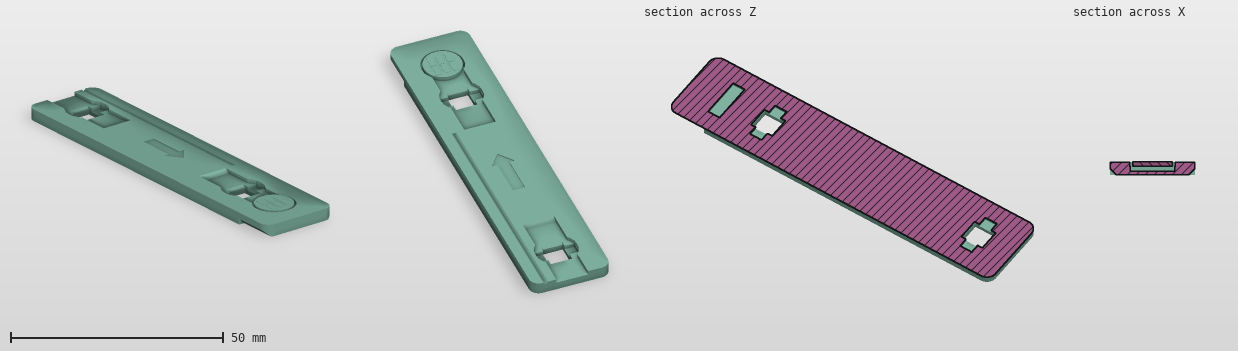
import cadquery as cq
import math

plate_length = 92.0
plate_width = 20.0
plate_thickness = 3.0
corner_radius = 2.5

pocket_width = 8.0
pocket_depth = 1.0
pocket_floor_z = plate_thickness - pocket_depth
end_pocket_length = 21.7
end_pocket_station_x = 10.0
long_pocket_start_x = 58.2
long_pocket_station_x = 70.0
button_station_x = 82.0

station_diameter = 10.5
channel_length = 10.3
channel_width = 3.2
channel_depth = 1.0

window_length = 5.5
window_width = 5.4
window_chamfer = 0.55

groove_length = 58.0
groove_y = 6.7
groove_width = 1.2

arrow_tail_x = 33.7
arrow_neck_x = 43.5
arrow_tip_x = 47.3
arrow_shaft_width = 3.0
arrow_head_width = 5.8
arrow_depth = 0.3

grip_start_x = 81.5
grip_chamfer = 1.5

button_diameter = 9.5
overall_height = 3.3
pad_rows = 3
pad_columns = 2
pad_length = 3.1
pad_width = 1.4
pad_row_pitch = 2.2
pad_gap = 0.3
pad_height = 0.1
button_face_z = overall_height - pad_height


def box_between(x_start, x_end, width, z_bottom, z_top):
    """Box centred on Y = 0."""
    return (
        cq.Workplane("XY", origin=((x_start + x_end) / 2, 0, z_bottom))
        .box(x_end - x_start, width, z_top - z_bottom, centered=(True, True, False))
    )


def sloped_pocket(plain_x, slope_x):
    """Pocket with an upright end at plain_x and a 45 degree slope that reaches the top face at slope_x."""
    slope_run = math.copysign(pocket_depth, plain_x - slope_x)
    return (
        cq.Workplane("XZ", origin=(0, pocket_width / 2, 0))
        .moveTo(plain_x, plate_thickness)
        .lineTo(plain_x, pocket_floor_z)
        .lineTo(slope_x + slope_run, pocket_floor_z)
        .lineTo(slope_x, plate_thickness)
        .close()
        .extrude(pocket_width)
    )


def end_pocket():
    """Pocket open at the -X end, with a 45 degree slope at its other end."""
    return sloped_pocket(0, end_pocket_length)


def long_pocket():
    """Pocket that starts with a 45 degree slope and runs into the button seat."""
    return sloped_pocket(button_station_x, long_pocket_start_x)


def station(x):
    """Round widening down to the pocket floor, and the deeper channel across it."""
    round_part = (
        cq.Workplane("XY", origin=(x, 0, pocket_floor_z))
        .circle(station_diameter / 2)
        .extrude(pocket_depth)
    )
    channel = box_between(
        x - channel_width / 2,
        x + channel_width / 2,
        channel_length,
        pocket_floor_z - channel_depth,
        plate_thickness,
    )
    return round_part.union(channel)


def window(x):
    """Through window whose two cross edges are chamfered at the pocket floor."""
    half_length = window_length / 2
    half_mouth = half_length + window_chamfer
    chamfer_foot_z = pocket_floor_z - window_chamfer
    return (
        cq.Workplane("XZ", origin=(x, window_width / 2, 0))
        .moveTo(-half_length, 0)
        .lineTo(half_length, 0)
        .lineTo(half_length, chamfer_foot_z)
        .lineTo(half_mouth, pocket_floor_z)
        .lineTo(-half_mouth, pocket_floor_z)
        .lineTo(-half_length, chamfer_foot_z)
        .close()
        .extrude(window_width)
    )


def v_groove():
    half_width = groove_width / 2
    return (
        cq.Workplane("YZ")
        .moveTo(groove_y - half_width, plate_thickness)
        .lineTo(groove_y, plate_thickness - half_width)
        .lineTo(groove_y + half_width, plate_thickness)
        .close()
        .extrude(groove_length)
    )


def arrow():
    return (
        cq.Workplane("XY", origin=(0, 0, plate_thickness))
        .moveTo(arrow_tail_x, -arrow_shaft_width / 2)
        .lineTo(arrow_neck_x, -arrow_shaft_width / 2)
        .lineTo(arrow_neck_x, -arrow_head_width / 2)
        .lineTo(arrow_tip_x, 0)
        .lineTo(arrow_neck_x, arrow_head_width / 2)
        .lineTo(arrow_neck_x, arrow_shaft_width / 2)
        .lineTo(arrow_tail_x, arrow_shaft_width / 2)
        .close()
        .extrude(-arrow_depth)
    )


def grip(side):
    """45 degree wedge under one long edge; side is -1 for -Y and +1 for +Y."""
    edge_y = side * plate_width / 2
    return (
        cq.Workplane("YZ", origin=(grip_start_x, 0, 0))
        .moveTo(edge_y, 0)
        .lineTo(edge_y - side * grip_chamfer, 0)
        .lineTo(edge_y, grip_chamfer)
        .close()
        .extrude(plate_length - grip_start_x)
    )


def make_plate():
    body = box_between(0, plate_length, plate_width, 0, plate_thickness)
    body = body.edges("|Z").fillet(corner_radius)
    body = body.cut(end_pocket()).cut(long_pocket())
    for x in (end_pocket_station_x, long_pocket_station_x, button_station_x):
        body = body.cut(station(x))
    for x in (end_pocket_station_x, long_pocket_station_x):
        body = body.cut(window(x))
    body = body.cut(v_groove()).cut(arrow())
    for side in (-1, 1):
        body = body.cut(grip(side))
    return body


def make_button():
    """Round button standing on the pocket floor, with the pads raised on its face."""
    disc = (
        cq.Workplane("XY", origin=(button_station_x, 0, pocket_floor_z))
        .circle(button_diameter / 2)
        .extrude(button_face_z - pocket_floor_z)
    )
    pads = (
        cq.Workplane("XY", origin=(button_station_x, 0, button_face_z))
        .rarray(pad_length + pad_gap, pad_row_pitch, pad_columns, pad_rows)
        .rect(pad_length, pad_width)
        .extrude(pad_height)
    )
    return disc.union(pads)


plate = make_plate()
button = make_button()
result = cq.Compound.makeCompound([plate.val(), button.val()])